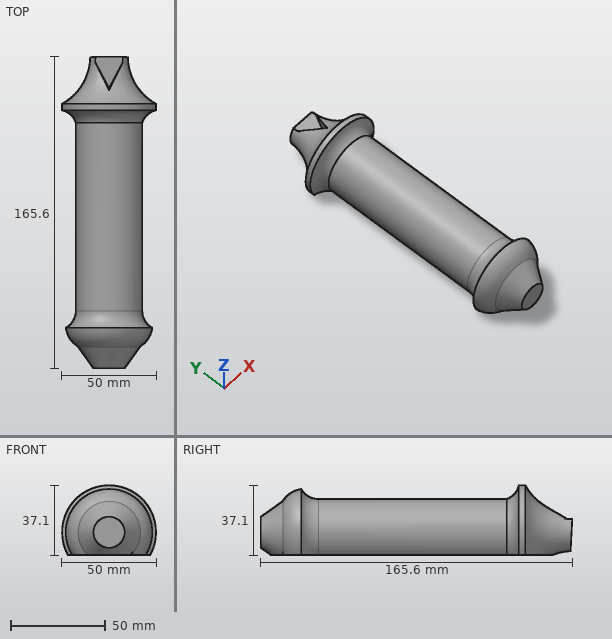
import cadquery as cq
import math


NOSE_Y = -82.8
CONE_Y = -71.2
BULB_Y = -61.3
SHAFT_FRONT_Y = -52.1
SHAFT_LENGTH = 100.0
SHAFT_BACK_Y = SHAFT_FRONT_Y + SHAFT_LENGTH
COLLAR_Y = 54.3
COLLAR_WIDTH = 3.5
COLLAR_BACK_Y = COLLAR_Y + COLLAR_WIDTH
TIP_Y = 82.8

NOSE_R = 8.3
CONE_R = 16.5
BULB_R = 23.0
SHAFT_R = 17.7
COLLAR_R = 25.0
TIP_R = 10.1

BULB_MID = (21.0, -66.7)
COLLAR_FLARE_MID = (21.0, 52.5)

HEIGHT = 37.1
BASE_Z = COLLAR_R - HEIGHT

NOTCH_FLOOR_Z = 7.1
NOTCH_APEX_Y = 66.0
NOTCH_HALF_ANGLE = 28.0
NOTCH_LEAN = 6.0
END_TILT = 3.0

CUTTER_SIZE = 248.3


def tangent_arc_mid(start_r, start_y, end_r, end_y):
    """Middle of the arc that starts parallel to the axis and flares out to the end point."""
    rise = end_r - start_r
    run = end_y - start_y
    radius = (rise**2 + run**2) / (2 * rise)
    half_turn = math.atan2(rise, abs(run))
    mid_r = start_r + radius * (1 - math.cos(half_turn))
    mid_y = start_y + math.copysign(radius * math.sin(half_turn), run)
    return (mid_r, mid_y)


def turned_body():
    """Solid of revolution about the Y axis."""
    neck_mid = tangent_arc_mid(SHAFT_R, SHAFT_FRONT_Y, BULB_R, BULB_Y)
    tip_flare_mid = tangent_arc_mid(TIP_R, TIP_Y, COLLAR_R, COLLAR_BACK_Y)
    axis_start = (0, 0)
    axis_end = (0, 1)
    return (
        cq.Workplane("XY")
        .moveTo(0, NOSE_Y)
        .lineTo(NOSE_R, NOSE_Y)
        .lineTo(CONE_R, CONE_Y)
        .threePointArc(BULB_MID, (BULB_R, BULB_Y))
        .threePointArc(neck_mid, (SHAFT_R, SHAFT_FRONT_Y))
        .lineTo(SHAFT_R, SHAFT_BACK_Y)
        .threePointArc(COLLAR_FLARE_MID, (COLLAR_R, COLLAR_Y))
        .lineTo(COLLAR_R, COLLAR_BACK_Y)
        .threePointArc(tip_flare_mid, (TIP_R, TIP_Y))
        .lineTo(0, TIP_Y)
        .close()
        .revolve(360, axis_start, axis_end)
    )


def underside_cutter():
    """Everything below the flat base."""
    return (
        cq.Workplane("XY", origin=(0, 0, BASE_Z))
        .rect(CUTTER_SIZE, CUTTER_SIZE)
        .extrude(-CUTTER_SIZE)
    )


def notch_cutter():
    """Flat-floored V that opens toward the tip, its walls leaning toward the collar as they rise."""
    length = 2 * (TIP_Y - NOTCH_APEX_Y)
    half_width = length * math.tan(math.radians(NOTCH_HALF_ANGLE))
    cutter_height = COLLAR_R
    lean = cutter_height * math.tan(math.radians(NOTCH_LEAN))
    outline = [(0, 0), (half_width, length), (-half_width, length)]
    leaned_outline = [(x, y - lean) for x, y in outline]
    return (
        cq.Workplane("XY", origin=(0, NOTCH_APEX_Y, NOTCH_FLOOR_Z))
        .polyline(outline)
        .close()
        .workplane(offset=cutter_height)
        .polyline(leaned_outline)
        .close()
        .loft(ruled=True)
    )


def end_face_cutter():
    """Block that leans the end face in toward the bottom, hinged at the notch floor."""
    block = (
        cq.Workplane("XZ", origin=(0, TIP_Y, 0))
        .rect(CUTTER_SIZE, CUTTER_SIZE)
        .extrude(-CUTTER_SIZE)
    )
    hinge_start = (0, TIP_Y, NOTCH_FLOOR_Z)
    hinge_end = (1, TIP_Y, NOTCH_FLOOR_Z)
    return block.rotate(hinge_start, hinge_end, -END_TILT)


result = (
    turned_body()
    .cut(underside_cutter())
    .cut(notch_cutter())
    .cut(end_face_cutter())
)